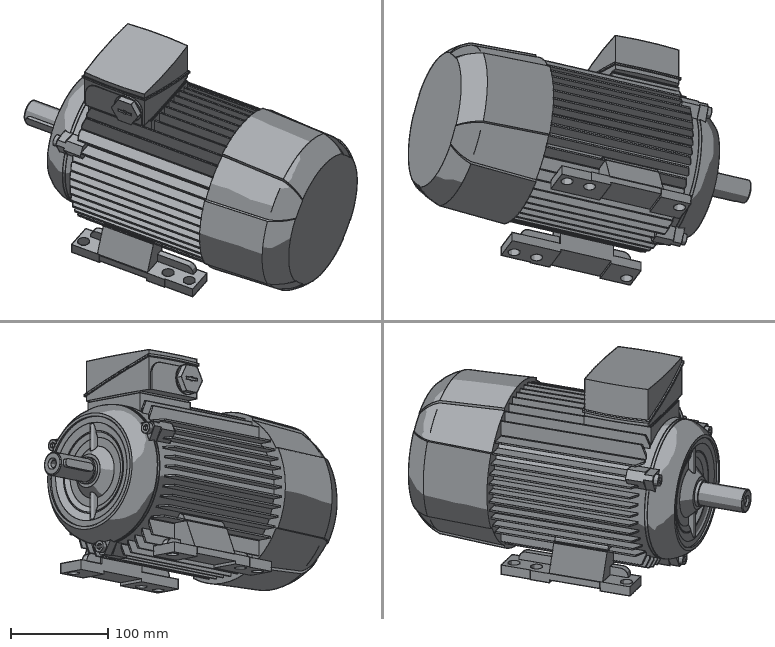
import cadquery as cq
import math


length = 347.0
collar_start = 49.3
hub_front = 52.7
shield_front = 55.5
shield_shoulder = 80.5
shield_rear = 83.5
fin_start = 91.0
fin_full_height = 96.0
cowl_start = 252.0
cowl_bend = 324.0

shaft_radius = 12.0
shaft_edge = 1.0
collar_radius = 14.0
center_hole_radius = 3.8
center_hole_depth = 14.0
center_countersink_radius = 6.0
key_start = 3.8
key_length = 41.0
key_width = 8.5
key_height = 15.5

body_radius = 73.0
seam_depth = 0.7
rim_radius = 60.5
rim_inner_radius = 57.3
dome_mid_x = 67.0
dome_mid_radius = 69.0
dish_shelf = 57.5
dish_shelf_radius = 51.0
dish_upper_wall = 58.5
dish_upper_radius = 49.3
dish_ledge = 60.7
dish_ledge_outer_radius = 43.0
dish_ledge_inner_radius = 41.5
dish_floor = 63.5
dish_floor_radius = 36.0
hub_nose_radius = 17.5
hub_base_radius = 27.0
web_width = 7.0
web_round = 3.0
web_reach = 50.0
web_front = 57.5

fin_pitch = 10.0
fins_each_side = 5
fin_thickness = 1.7
fin_tip_radius = 84.5
fin_front_radius = 75.3
fin_reach = 83.3

cowl_radius = 178.0 / 2
cowl_bend_radius = 85.7
cowl_end_radius = 70.8
cowl_bulge = 1.7
cowl_step = 2.5
cowl_band_half_width = 42.0

lug_angles = (30, 150, 270)
lug_front = 74.0
lug_rear = 103.5
lug_tip_radius = 84.5
lug_base_radius = 70.0
lug_root_radius = 62.5
lug_tip_width = 10.5
lug_front_tip_width = 5.5
lug_base_width = 24.3
bolt_circle_radius = 76.7
bolt_head_radius = 6.0
bolt_head_height = 5.0
bolt_socket_radius = 3.0
bolt_socket_depth = 2.8

floor = -90.0
foot_start = 96.0
foot_end = 239.5
foot_inner = 51.7
foot_outer = 81.2
foot_bulge = 1.0
foot_bulge_start = 129.5
foot_bulge_end = 206.8
foot_thickness = 10.5
relief_start = foot_bulge_start
relief_end = 185.3
relief_depth = 3.0
support_start = 126.5
support_end = 186.0
support_shoulder_y = 69.0
support_shoulder_z = -50.5
support_shoulder_width = 2.5
support_head_mid = (64.2, -44.8)
support_head_y = 60.7
support_top = -42.5
foot_hole_diameter = 12.0
foot_hole_y = 70.8
foot_hole_places = (104.5, 204.5, 229.5)
rib_start = 107.0
rib_end = 228.3
rib_inner = 53.8
rib_outer = 60.7
rib_height = 9.5
rib_corner = 8.5

box_start = 92.5
box_end = 163.5
box_back = 41.0
box_front = -48.2
box_bow = 1.7
box_bottom = 84.3
box_top = 126.0
lip_overhang = 1.7
lip_thickness = 2.0
lip_back_z = 89.5
lip_front_z = 120.8
neck_start = 91.0
neck_end = 165.5
neck_width = 74.3
neck_top = 82.2
throat_inset = 1.0
entry_panel_margin = 2.5
entry_panel_top = 114.5
entry_panel_corner = 13.2
entry_panel_face = -50.3

plug_x = 145.7
plug_z = 101.5
plug_flange_radius = 15.5
plug_flange_face = -51.7
plug_flats = 27.0
plug_face = -58.3
plug_slot_length = 16.0
plug_slot_width = 2.8
plug_slot_depth = 2.0
plug_dimple_radius = 2.5


def box_between(x0, x1, y0, y1, z0, z1):
    """Box spanning the given coordinate ranges."""
    return cq.Workplane("XY").box(x1 - x0, y1 - y0, z1 - z0, centered=False).translate((x0, y0, z0))


def revolve_about_shaft(profile):
    """Revolve a closed (x, radius) profile about the X axis."""
    return profile.close().revolve(360, (0, 0, 0), (1, 0, 0))


def cone_outline(points):
    """Revolve a chain of (x, radius) points, closed along the shaft axis."""
    return revolve_about_shaft(cq.Workplane("XY").polyline([(points[0][0], 0), *points, (points[-1][0], 0)]))


def across(x):
    """Workplane square to the shaft at x, with local axes Y and Z and normal +X."""
    return cq.Workplane("YZ").workplane(offset=x)


def facing_front(y):
    """Workplane at y, with local axes X and Z and normal -Y."""
    return cq.Workplane("XZ").workplane(offset=-y)


def make_shaft():
    """Shaft with collar, key and countersunk centre hole."""
    shaft = cone_outline([
        (0, shaft_radius - shaft_edge),
        (shaft_edge, shaft_radius),
        (collar_start, shaft_radius),
        (collar_start, collar_radius),
        (dish_floor, collar_radius),
    ])
    center_hole = cone_outline([
        (0, center_countersink_radius),
        (center_countersink_radius - center_hole_radius, center_hole_radius),
        (center_hole_depth, center_hole_radius),
    ])
    key = (
        facing_front(0)
        .center(key_start + key_length / 2, 0)
        .slot2D(key_length, key_width)
        .extrude(key_height)
    )
    return shaft.union(key).cut(center_hole)


def make_shield_and_core():
    """Domed end shield with a stepped dish around the hub, in one piece with the finned core."""
    dish = [
        (hub_front, 0),
        (hub_front, hub_nose_radius),
        (dish_floor, hub_base_radius),
        (dish_floor, dish_floor_radius),
        (dish_ledge, dish_ledge_inner_radius),
        (dish_ledge, dish_ledge_outer_radius),
        (dish_upper_wall, dish_upper_radius),
        (dish_shelf, dish_shelf_radius),
        (dish_shelf, rim_inner_radius),
        (shield_front, rim_inner_radius),
        (shield_front, rim_radius),
    ]
    profile = (
        cq.Workplane("XY")
        .polyline(dish)
        .threePointArc((dome_mid_x, dome_mid_radius), (shield_shoulder, body_radius))
        .lineTo(shield_shoulder, body_radius - seam_depth)
        .lineTo(shield_rear, body_radius - seam_depth)
        .lineTo(shield_rear, body_radius)
        .lineTo(cowl_start, body_radius)
        .lineTo(cowl_start, 0)
    )
    web = (
        box_between(web_front, dish_floor, -web_width / 2, web_width / 2, -web_reach, web_reach)
        .edges("|Z and <X")
        .fillet(web_round)
    )
    return revolve_about_shaft(profile).union(web)


def make_fins():
    """Level fins on the sides and upright fins above and below, cut back at the front."""
    half = fin_thickness / 2
    fins = cq.Workplane("XY")
    for i in range(-fins_each_side, fins_each_side + 1):
        place = i * fin_pitch
        reach = min(fin_reach, math.sqrt(fin_tip_radius**2 - (abs(place) + half) ** 2))
        level = box_between(fin_start, cowl_start, -reach, reach, place - half, place + half)
        upright = level.rotate((0, 0, 0), (1, 0, 0), 90)
        fins = fins.add(level).add(upright)
    envelope = cone_outline([
        (fin_start, fin_front_radius),
        (fin_full_height, fin_tip_radius),
        (cowl_start, fin_tip_radius),
    ])
    return fins.combine().intersect(envelope)


def cowl_shell(front_radius, bend_radius, end_radius):
    """Tapered sleeve with a rounded rear end."""
    run = length - cowl_bend
    drop = bend_radius - end_radius
    chord = math.hypot(run, drop)
    bulge_point = (
        cowl_bend + run / 2 + cowl_bulge * drop / chord,
        end_radius + drop / 2 + cowl_bulge * run / chord,
    )
    return revolve_about_shaft(
        cq.Workplane("XY")
        .moveTo(cowl_start, 0)
        .lineTo(cowl_start, front_radius)
        .lineTo(cowl_bend, bend_radius)
        .threePointArc(bulge_point, (length, end_radius))
        .lineTo(length, 0)
    )


def make_cowl():
    """Fan cowl with raised bands on top, bottom and sides and lower panels between them."""
    band = cowl_band_half_width
    wide = 2 * cowl_radius
    bands = box_between(cowl_start, length, -band, band, -wide, wide).union(
        box_between(cowl_start, length, -wide, wide, -band, band)
    )
    raised = cowl_shell(cowl_radius, cowl_bend_radius, cowl_end_radius).intersect(bands)
    lower_panels = cowl_shell(
        cowl_radius - cowl_step, cowl_bend_radius - cowl_step, cowl_end_radius - cowl_step / 2
    )
    return lower_panels.union(raised)


def lug_block(x0, x1, tip_width):
    """Tapered block pointing along +Y, narrowing to the given width at its tip."""
    tip = tip_width / 2
    base = lug_base_width / 2
    return (
        across(x0)
        .polyline([
            (lug_root_radius, -base),
            (lug_base_radius, -base),
            (lug_tip_radius, -tip),
            (lug_tip_radius, tip),
            (lug_base_radius, base),
            (lug_root_radius, base),
        ])
        .close()
        .extrude(x1 - x0)
    )


def make_bolt_lug(angle):
    """Shield and core lugs with a socket-head bolt, turned about the shaft to the given angle."""
    lug = lug_block(lug_front, shield_rear, lug_front_tip_width).union(
        lug_block(shield_rear, lug_rear, lug_tip_width)
    )
    head_face = lug_front - bolt_head_height
    bolt_head = (
        across(head_face)
        .center(bolt_circle_radius, 0)
        .circle(bolt_head_radius)
        .extrude(bolt_head_height)
    )
    socket = (
        across(head_face)
        .center(bolt_circle_radius, 0)
        .polygon(6, 2 * bolt_socket_radius)
        .extrude(bolt_socket_depth)
    )
    return lug.union(bolt_head).cut(socket).rotate((0, 0, 0), (1, 0, 0), angle)


def make_foot():
    """Foot on the +Y side: base plate, sloped support up to the core, and a low rib."""
    plate_top = floor + foot_thickness
    plate = box_between(foot_start, foot_end, foot_inner, foot_outer, floor, plate_top)
    bulge_face = foot_outer + foot_bulge
    bulge = box_between(foot_bulge_start, foot_bulge_end, foot_inner, bulge_face, floor, plate_top)
    relief = box_between(relief_start, relief_end, foot_inner, bulge_face, floor, floor + relief_depth)
    holes = (
        cq.Workplane("XY")
        .workplane(offset=floor)
        .pushPoints([(x, foot_hole_y) for x in foot_hole_places])
        .circle(foot_hole_diameter / 2)
        .extrude(foot_thickness)
    )
    support = (
        across(support_start)
        .moveTo(foot_inner, plate_top)
        .lineTo(foot_outer, plate_top)
        .lineTo(support_shoulder_y, support_shoulder_z)
        .lineTo(support_shoulder_y - support_shoulder_width, support_shoulder_z)
        .threePointArc(support_head_mid, (support_head_y, support_top))
        .lineTo(foot_inner, support_top)
        .close()
        .extrude(support_end - support_start)
    )
    rib = (
        box_between(rib_start, rib_end, rib_inner, rib_outer, plate_top, plate_top + rib_height)
        .edges("|Y and >Z")
        .fillet(rib_corner)
    )
    return plate.union(bulge).cut(relief).cut(holes).union(support).union(rib)


def bowed_prism(overhang):
    """Full-height terminal box block whose four sides bow outwards between sharp corners."""
    x0 = box_start - overhang
    x1 = box_end + overhang
    y0 = box_front - overhang
    y1 = box_back + overhang
    mid_x = (x0 + x1) / 2
    mid_y = (y0 + y1) / 2
    return (
        cq.Workplane("XY")
        .workplane(offset=box_bottom)
        .moveTo(x0, y0)
        .threePointArc((mid_x, y0 - box_bow), (x1, y0))
        .threePointArc((x1 + box_bow, mid_y), (x1, y1))
        .threePointArc((mid_x, y1 + box_bow), (x0, y1))
        .threePointArc((x0 - box_bow, mid_y), (x0, y0))
        .close()
        .extrude(box_top - box_bottom)
    )


def make_terminal_box():
    """Terminal box on its neck, with the sloping lip and the cable entry panel."""
    neck_half = neck_width / 2
    throat_half = neck_half - throat_inset
    neck = box_between(neck_start, neck_end, -neck_half, neck_half, 0, neck_top)
    throat = box_between(
        neck_start + throat_inset, neck_end - throat_inset, -throat_half, throat_half, 0, box_bottom
    )

    lip_front_y = box_front - lip_overhang - box_bow
    lip_back_y = box_back + lip_overhang + box_bow
    half = lip_thickness / 2
    lip_slab = (
        across(neck_start - box_bow - lip_overhang)
        .polyline([
            (lip_front_y, lip_front_z - half),
            (lip_back_y, lip_back_z - half),
            (lip_back_y, lip_back_z + half),
            (lip_front_y, lip_front_z + half),
        ])
        .close()
        .extrude(neck_end - neck_start + 2 * (box_bow + lip_overhang))
    )
    lip = bowed_prism(lip_overhang).intersect(lip_slab)

    entry_panel = (
        box_between(
            box_start + entry_panel_margin, box_end - entry_panel_margin,
            entry_panel_face, 0,
            box_bottom, entry_panel_top,
        )
        .edges("|Y and >Z")
        .fillet(entry_panel_corner)
    )
    return bowed_prism(0).union(neck).union(throat).union(lip).union(entry_panel)


def make_plug():
    """Hexagonal blanking plug with a screwdriver slot, on a round flange."""
    flange = (
        facing_front(box_front)
        .center(plug_x, plug_z)
        .circle(plug_flange_radius)
        .extrude(box_front - plug_flange_face)
    )
    hexagon = (
        facing_front(box_front)
        .center(plug_x, plug_z)
        .polygon(6, plug_flats / math.cos(math.pi / 6))
        .extrude(box_front - plug_face)
    )
    slot_floor = facing_front(plug_face + plug_slot_depth).center(plug_x, plug_z)
    slot = slot_floor.rect(plug_slot_length, plug_slot_width).extrude(plug_slot_depth)
    dimple = slot_floor.circle(plug_dimple_radius).extrude(plug_slot_depth)
    return flange.union(hexagon).cut(slot).cut(dimple)


body = make_shield_and_core().union(make_shaft()).union(make_cowl())
for lug_angle in lug_angles:
    body = body.union(make_bolt_lug(lug_angle))
left_foot = make_foot()
body = body.union(left_foot).union(left_foot.mirror("XZ"))
body = body.union(make_terminal_box()).union(make_plug())
result = body.union(make_fins())